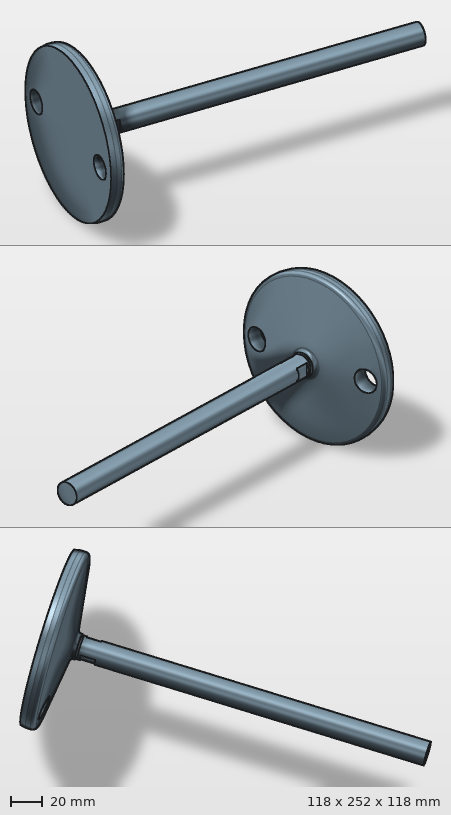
import cadquery as cq
import math

total_length = 252.0
plate_diameter = 118.0
plate_radius = plate_diameter / 2

draft_height = 3.8
draft_inset = 0.8
shoulder_start = 7.0
shoulder_radius = 3.0
cone_angle = math.radians(9)
neck_radius = 8.5
neck_top = 20.5
neck_fillet = 2.5

hole_diameter = 16.5
hole_offset = 43.0
hole_reach = 37.8

stem_radius = 16.0 / 2
tip_radius = 6.8
tip_height = 1.5
flat_start = 23.7
flat_length = 9.8
across_flats = 12.5


def revolve_about_y(profile):
    return profile.close().revolve(360, (0, 0, 0), (0, 1, 0))


def make_plate():
    arc_centre_x = plate_radius - shoulder_radius
    arc_end_angle = math.pi / 2 - cone_angle
    arc_mid_angle = arc_end_angle / 2

    def shoulder_point(angle):
        return (
            arc_centre_x + shoulder_radius * math.cos(angle),
            shoulder_start + shoulder_radius * math.sin(angle),
        )

    cone_outer = shoulder_point(arc_end_angle)
    cone_top = cone_outer[1] + (cone_outer[0] - neck_radius) * math.tan(cone_angle)
    blank = revolve_about_y(
        cq.Workplane("XY")
        .lineTo(plate_radius - draft_inset, 0)
        .lineTo(plate_radius, draft_height)
        .lineTo(plate_radius, shoulder_start)
        .threePointArc(shoulder_point(arc_mid_angle), cone_outer)
        .lineTo(neck_radius, cone_top)
        .lineTo(neck_radius, neck_top)
        .lineTo(0, neck_top)
    )

    corner = cq.selectors.BoxSelector(
        (-plate_radius / 2, cone_top - 0.3, -plate_radius / 2),
        (plate_radius / 2, cone_top + 0.3, plate_radius / 2),
    )
    plate = blank.edges("%CIRCLE").edges(corner).fillet(neck_fillet)

    for side in (-1, 1):
        axis = cq.Vector(side * math.sin(cone_angle), math.cos(cone_angle), 0)
        entry = cq.Vector(side * hole_offset, 0, 0)
        drill = cq.Solid.makeCylinder(
            hole_diameter / 2, 2 * hole_reach, entry - axis * hole_reach, axis
        )
        plate = plate.cut(cq.Workplane(drill))
    return plate


def make_stem():
    stem = revolve_about_y(
        cq.Workplane("XY")
        .moveTo(0, neck_top)
        .lineTo(tip_radius, neck_top)
        .lineTo(stem_radius, neck_top + tip_height)
        .lineTo(stem_radius, total_length)
        .lineTo(0, total_length)
    )

    for side in (-1, 1):
        cutter = cq.Workplane("XY").box(stem_radius, flat_length, 2 * stem_radius).translate(
            (side * (across_flats + stem_radius) / 2, flat_start + flat_length / 2, 0)
        )
        stem = stem.cut(cutter)
    return stem


plate = make_plate()
stem = make_stem()
result = cq.Compound.makeCompound([plate.val(), stem.val()])